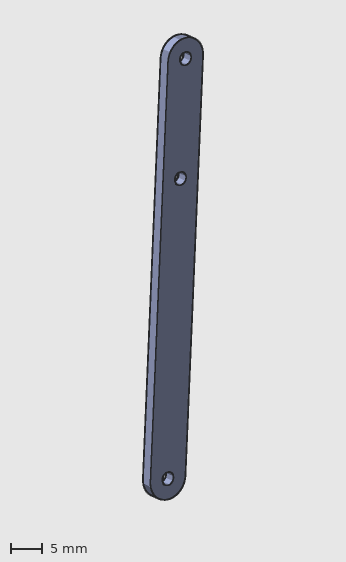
import cadquery as cq
import math

thickness = 2.0
bar_width = 7.0
end_hole_spacing = 70.0
middle_hole_from_top = 20.0
hole_diameter = 2.2
lean_offset = 3.5

lean_angle = math.degrees(math.asin(lean_offset / end_hole_spacing))
top_hole_z = end_hole_spacing / 2
hole_heights = [-top_hole_z, top_hole_z - middle_hole_from_top, top_hole_z]


def make_upright_bar():
    """Bar with full-radius ends, centred on the origin and running along Z."""
    return (
        cq.Workplane("ZY")
        .slot2D(end_hole_spacing + bar_width, bar_width)
        .extrude(thickness / 2, both=True)
    )


def make_hole_pins():
    """Cylinders that cut the through holes on the bar's centreline."""
    return (
        cq.Workplane("ZY")
        .pushPoints([(height, 0) for height in hole_heights])
        .circle(hole_diameter / 2)
        .extrude(thickness, both=True)
    )


upright_link = make_upright_bar().cut(make_hole_pins())

result = upright_link.rotate((0, 0, 0), (1, 0, 0), -lean_angle)